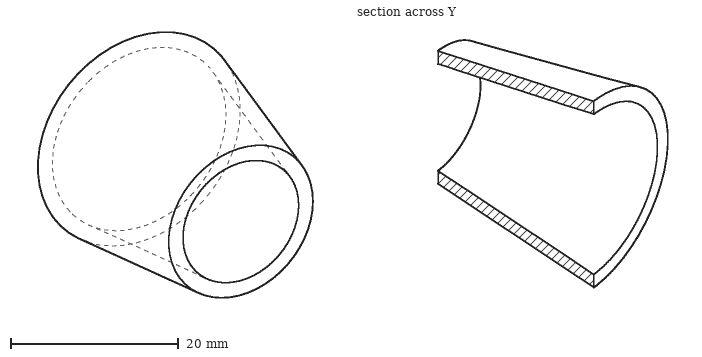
import cadquery as cq

length = 24.0
wide_diameter = 28.0
narrow_diameter = 20.0
wall = 2.0

wide_radius = wide_diameter / 2
narrow_radius = narrow_diameter / 2

wall_section = cq.Workplane("XY").polyline([
    (0, wide_radius - wall),
    (0, wide_radius),
    (length, narrow_radius),
    (length, narrow_radius - wall),
]).close()

result = wall_section.revolve(360, (0, 0, 0), (1, 0, 0))